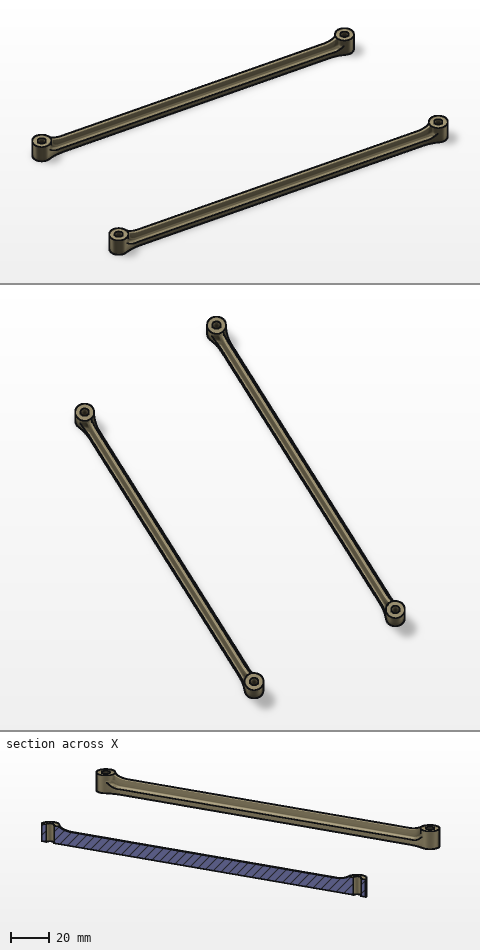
import cadquery as cq
import math

long_arm_length = 200.0
short_arm_length = 190.0
arm_spacing = 85.0

boss_diameter = 10.0
boss_height = 10.0
hole_diameter = 4.4
boss_radius = boss_diameter / 2

foot_width = 6.0
foot_height = 3.0
web_width = 2.0
web_height = 8.0

web_fillet = 1.95
boss_fillet = 4.0
flare_radius = 25.0
web_edge_round = 0.5
web_ramp_length = 7.2

stock_width = 4 * boss_diameter
stock_height = 2 * boss_height

selection_margin = 0.2


def foot_stock(span):
    """Slab under the whole arm, wider and longer than the finished foot."""
    return (
        cq.Workplane("XY")
        .center(0, span / 2)
        .rect(stock_width, span + stock_width)
        .extrude(foot_height)
    )


def web_stock(span):
    """Web joining the two boss centres, taller than the finished web."""
    return (
        cq.Workplane("XY")
        .center(0, span / 2)
        .rect(web_width, span)
        .extrude(stock_height)
    )


def boss_stock(boss_y):
    """Boss cylinder with a concave blend that runs out onto the top of the foot."""
    blend_outer_radius = boss_radius + boss_fillet
    blend_top = foot_height + boss_fillet
    return (
        cq.Workplane("XZ", origin=(0, boss_y, 0))
        .moveTo(0, 0)
        .lineTo(blend_outer_radius, 0)
        .lineTo(blend_outer_radius, foot_height)
        .radiusArc((boss_radius, blend_top), boss_fillet)
        .lineTo(boss_radius, stock_height)
        .lineTo(0, stock_height)
        .close()
        .revolve(360, (0, 0, 0), (0, 1, 0))
    )


def plan_outline(span):
    """Prism of the arm's plan: straight sides that flare tangentially into round ends."""
    half_width = foot_width / 2
    flare_x = half_width + flare_radius
    flare_y = math.sqrt((boss_radius + flare_radius) ** 2 - flare_x**2)
    tangent_angle = math.atan2(flare_y, flare_x)
    tangent_x = boss_radius * math.cos(tangent_angle)
    tangent_y = boss_radius * math.sin(tangent_angle)
    middle_x = flare_x - flare_radius * math.cos(tangent_angle / 2)
    middle_y = flare_y - flare_radius * math.sin(tangent_angle / 2)
    return (
        cq.Workplane("XY")
        .moveTo(half_width, flare_y)
        .lineTo(half_width, span - flare_y)
        .threePointArc((middle_x, span - middle_y), (tangent_x, span - tangent_y))
        .threePointArc((0, span + boss_radius), (-tangent_x, span - tangent_y))
        .threePointArc((-middle_x, span - middle_y), (-half_width, span - flare_y))
        .lineTo(-half_width, flare_y)
        .threePointArc((-middle_x, middle_y), (-tangent_x, tangent_y))
        .threePointArc((0, -boss_radius), (tangent_x, tangent_y))
        .threePointArc((middle_x, middle_y), (half_width, flare_y))
        .close()
        .extrude(boss_height)
    )


def web_relief(span):
    """Space above the web, whose floor curves up to the top of each boss."""
    rise = boss_height - web_height
    ramp_radius = (web_ramp_length**2 + rise**2) / (2 * rise)
    half_ramp = web_ramp_length / 2
    middle_height = web_height + ramp_radius - math.sqrt(ramp_radius**2 - half_ramp**2)
    ramp_top = boss_radius
    ramp_middle = ramp_top + half_ramp
    ramp_foot = ramp_top + web_ramp_length
    return (
        cq.Workplane("YZ")
        .moveTo(ramp_top, boss_height)
        .threePointArc((ramp_middle, middle_height), (ramp_foot, web_height))
        .lineTo(span - ramp_foot, web_height)
        .threePointArc((span - ramp_middle, middle_height), (span - ramp_top, boss_height))
        .close()
        .extrude(stock_width / 2, both=True)
    )


def web_root(span):
    """Selector for the edges along both sides of the web, where it meets foot and bosses."""
    reach = web_width / 2 + selection_margin
    return cq.selectors.BoxSelector(
        (-reach, boss_radius / 2, foot_height - selection_margin),
        (reach, span - boss_radius / 2, stock_height - selection_margin),
    )


def web_top(span):
    """Selector for the two long edges on top of the web; their rounds run on up the ramps."""
    reach = web_width / 2 + selection_margin
    return cq.selectors.BoxSelector(
        (-reach, boss_diameter, web_height - selection_margin),
        (reach, span - boss_diameter, web_height + selection_margin),
    )


def arm(length):
    """One arm along +Y, with its first boss centred on the Z axis."""
    span = length - boss_diameter
    stock = foot_stock(span).union(web_stock(span))
    for boss_y in (0, span):
        stock = stock.union(boss_stock(boss_y))
    filleted = stock.edges(web_root(span)).fillet(web_fillet)

    trimmed = filleted.intersect(plan_outline(span)).cut(web_relief(span))
    rounded = trimmed.edges(web_top(span)).edges("|Y").fillet(web_edge_round)
    holes = (
        cq.Workplane("XY")
        .pushPoints([(0, 0), (0, span)])
        .circle(hole_diameter / 2)
        .extrude(boss_height)
    )
    return rounded.cut(holes)


short_arm = arm(short_arm_length)
long_arm = arm(long_arm_length).translate((arm_spacing, 0, 0))

result = cq.Compound.makeCompound([short_arm.solids().val(), long_arm.solids().val()])